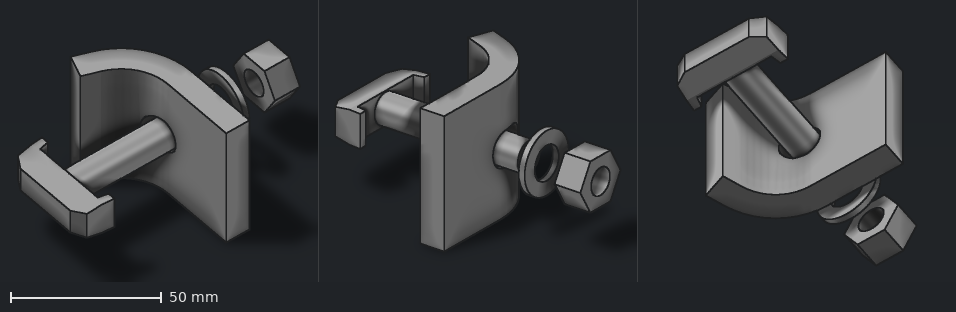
import cadquery as cq
import math


shank_diameter = 12.0
bolt_length = 70.0
head_height = 14.1
head_floor = 10.1
head_half_width = 19.0
head_shoulder_half_width = 18.1
head_shoulder = 3.0
head_face_half_width = 13.0
lip_tip_inner = 15.9
lip_root_inner = 15.0
head_thickness = 13.0
head_face_thickness = 10.0
head_taper_height = 9.1

plate_thickness = 10.0
plate_height = 50.0
plate_back = 60.2
bend_start = 2.7
bend_angle = 70.0
bend_inner_radius = 20.0
bend_outer_radius = bend_inner_radius + plate_thickness
flat_length = 30.5
tail_length = 7.3
hole_diameter = 13.5
hole_tilt = 20.0
hole_pivot = 45.0

washer_diameter = 24.0
washer_bore = 13.0
washer_thickness = 2.5
washer_front = 75.0

nut_across_flats = 19.0
nut_bore = 10.2
nut_thickness = 10.8
nut_back = 100.0


def y_plane(y):
    """Workplane across the bolt axis at the given Y, extruding toward +Y."""
    return cq.Workplane(cq.Plane(origin=(0, y, 0), xDir=(1, 0, 0), normal=(0, 1, 0)))


def make_bolt():
    half_outline = [
        (head_face_half_width, 0),
        (head_shoulder_half_width, head_shoulder),
        (head_half_width, head_height),
        (lip_tip_inner, head_height),
        (lip_root_inner, head_floor),
    ]
    mirrored = [(-x, y) for x, y in reversed(half_outline)]
    head = (
        cq.Workplane("XY")
        .polyline(half_outline + mirrored)
        .close()
        .extrude(head_thickness / 2, both=True)
    )
    side_outline = [
        (0, head_face_thickness / 2),
        (head_taper_height, head_thickness / 2),
        (head_height, head_thickness / 2),
    ]
    lower_side = [(y, -z) for y, z in reversed(side_outline)]
    taper = (
        cq.Workplane("YZ")
        .polyline(side_outline + lower_side)
        .close()
        .extrude(head_half_width, both=True)
    )
    shank = y_plane(head_floor).circle(shank_diameter / 2).extrude(bolt_length - head_floor)
    return head.intersect(taper).union(shank)


def make_swing_hole():
    """Round hole along the bolt axis, widened by swinging it about Z by the tilt."""
    radius = hole_diameter / 2
    reach = plate_thickness + plate_back - hole_pivot
    angle = math.radians(hole_tilt)
    pivot = (0, hole_pivot, 0)
    straight = y_plane(hole_pivot - plate_thickness).circle(radius).extrude(reach + plate_thickness)
    tilted = straight.rotate(pivot, (0, hole_pivot, 1), hole_tilt)
    wedge = (
        cq.Workplane("XY")
        .moveTo(0, hole_pivot)
        .lineTo(0, hole_pivot + reach)
        .lineTo(-reach * math.sin(angle), hole_pivot + reach * math.cos(angle))
        .close()
        .extrude(radius, both=True)
    )
    return straight.union(tilted).union(wedge)


def make_plate():
    bend_center_y = plate_back - bend_outer_radius
    angle = math.radians(bend_angle)

    def on_bend(radius, turn, tail=0.0):
        """Point on the bend after a turn, then moved on along the tangent."""
        x = bend_start - radius * math.sin(turn) - tail * math.cos(turn)
        y = bend_center_y + radius * math.cos(turn) - tail * math.sin(turn)
        return (x, y)

    flat_end = bend_start + flat_length
    plate = (
        cq.Workplane("XY")
        .moveTo(flat_end, plate_back)
        .lineTo(bend_start, plate_back)
        .threePointArc(on_bend(bend_outer_radius, angle / 2), on_bend(bend_outer_radius, angle))
        .lineTo(*on_bend(bend_outer_radius, angle, tail_length))
        .lineTo(*on_bend(bend_inner_radius, angle, tail_length))
        .lineTo(*on_bend(bend_inner_radius, angle))
        .threePointArc(on_bend(bend_inner_radius, angle / 2), on_bend(bend_inner_radius, 0))
        .lineTo(flat_end, plate_back - plate_thickness)
        .close()
        .extrude(plate_height / 2, both=True)
    )
    return plate.cut(make_swing_hole())


def make_washer():
    return (
        y_plane(washer_front)
        .circle(washer_diameter / 2)
        .circle(washer_bore / 2)
        .extrude(washer_thickness)
    )


def make_nut():
    across_corners = nut_across_flats / math.cos(math.radians(30))
    return (
        y_plane(nut_back - nut_thickness)
        .polygon(6, across_corners)
        .circle(nut_bore / 2)
        .extrude(nut_thickness)
    )


bolt = make_bolt()
plate = make_plate()
washer = make_washer()
nut = make_nut()

result = cq.Compound.makeCompound([bolt.val(), plate.val(), washer.val(), nut.val()])